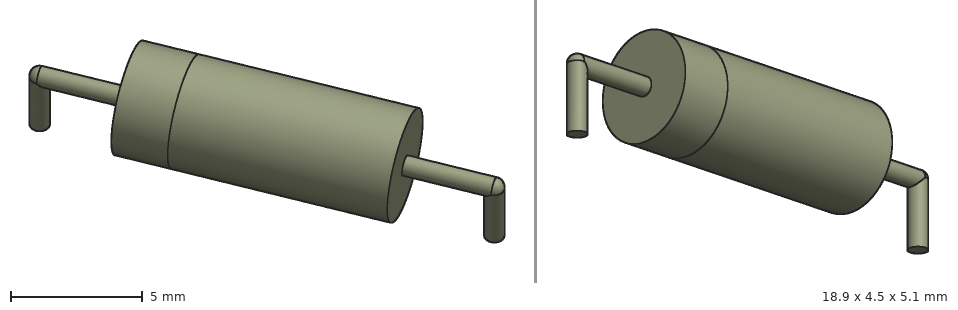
import cadquery as cq

body_diameter = 4.5
body_length = 11.0
band_length = body_diameter / 2
lead_diameter = 0.8
lead_span = 18.91
overall_height = 5.1

body_end = body_length / 2
lead_radius = lead_diameter / 2
bend_x = lead_span / 2 - lead_radius
leg_length = overall_height - body_diameter / 2


def cylinder_along_x(x_start, x_end, diameter):
    return cq.Workplane("YZ", origin=(x_start, 0, 0)).circle(diameter / 2).extrude(x_end - x_start)


def miter_wedge():
    """Triangular prism on the leg's side of the 45 degree miter, inside the right-hand bend."""
    return (
        cq.Workplane("XZ", origin=(bend_x, 0, 0))
        .polyline([(0, 0), (-lead_diameter, -lead_diameter), (0, -lead_diameter)])
        .close()
        .extrude(lead_radius, both=True)
    )


def horizontal_wire():
    """Wire from the body end to the bend, mitered on its lower half."""
    return cylinder_along_x(body_end, bend_x, lead_diameter).cut(miter_wedge())


def vertical_leg():
    """Wire from the bend down to the lead tip, fitted against the mitered horizontal wire."""
    leg = cq.Workplane("XY", origin=(bend_x, 0, 0)).circle(lead_radius).extrude(-leg_length)
    return leg.cut(horizontal_wire())


def bend_cap():
    """Quarter sphere that rounds the outer corner of the bend."""
    outer_corner = cq.Workplane("XY").box(
        lead_radius, lead_diameter, lead_radius, centered=(False, True, False)
    )
    return cq.Workplane("XY").sphere(lead_radius).intersect(outer_corner).translate((bend_x, 0, 0))


band = cylinder_along_x(-body_end, -body_end + band_length, body_diameter)
main_body = cylinder_along_x(-body_end + band_length, body_end, body_diameter)

lead_solids = []
for piece in (horizontal_wire(), vertical_leg(), bend_cap()):
    lead_solids.append(piece.solids().val())
    lead_solids.append(piece.mirror("YZ").solids().val())

result = cq.Compound.makeCompound([band.val(), main_body.val(), *lead_solids])